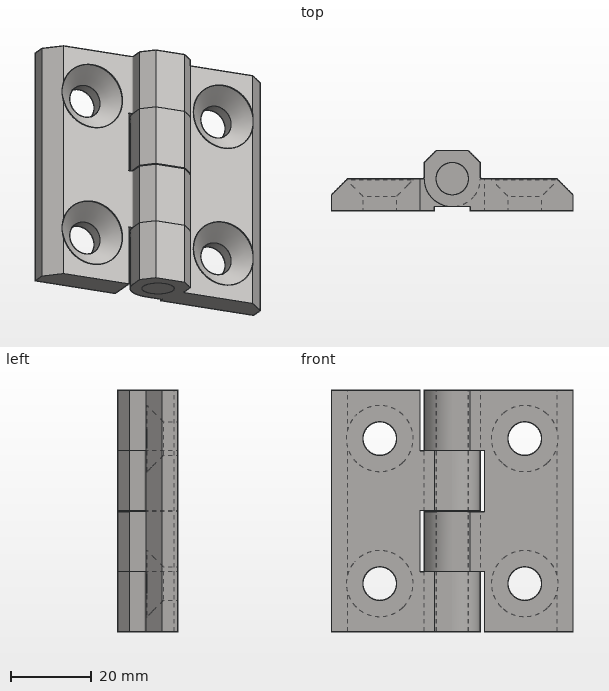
import cadquery as cq

WIDTH = 60.0
HEIGHT = 60.0
DEPTH = 15.0
HALF_WIDTH = WIDTH / 2
KNUCKLE_COUNT = 4
KNUCKLE_PITCH = HEIGHT / KNUCKLE_COUNT

PLATE_THICKNESS = 8.0
EDGE_CHAMFER = 4.0
KNUCKLE_CLEARANCE = 1.0

BACK_RELIEF = 1.0
RELIEF_HALF_WIDTH = 4.45
KNUCKLE_RADIUS = PLATE_THICKNESS - BACK_RELIEF
KNUCKLE_CHAMFER = 3.0
ROOT_FILLET = 0.5
PIN_RADIUS = 4.0
MIDDLE_GAP = 0.25

HOLE_SPACING = 36.0
HOLE_DIAMETER = 8.3
SINK_DIAMETER = 16.5
SINK_LIP = 0.3


def extrude_along_pin(outline, bottom, top):
    """Extrude an outline drawn in X and Y between two heights."""
    return outline.extrude(top - bottom).translate((0, 0, bottom))


def make_plate():
    """Left-hand plate, its outer front edge chamfered."""
    inner_edge = -(KNUCKLE_RADIUS + KNUCKLE_CLEARANCE)
    outline = (
        cq.Workplane("XY")
        .moveTo(-HALF_WIDTH, 0)
        .lineTo(inner_edge, 0)
        .lineTo(inner_edge, PLATE_THICKNESS)
        .lineTo(-HALF_WIDTH + EDGE_CHAMFER, PLATE_THICKNESS)
        .lineTo(-HALF_WIDTH, PLATE_THICKNESS - EDGE_CHAMFER)
        .close()
    )
    return extrude_along_pin(outline, -HEIGHT / 2, HEIGHT / 2)


def make_knuckle(bottom, top):
    """One knuckle and the web that joins it to the left-hand plate."""
    radius = KNUCKLE_RADIUS
    plate_edge = -(radius + KNUCKLE_CLEARANCE)
    diagonal = radius * 0.5 ** 0.5
    outline = (
        cq.Workplane("XY")
        .moveTo(plate_edge, 0)
        .lineTo(-RELIEF_HALF_WIDTH, 0)
        .lineTo(-RELIEF_HALF_WIDTH, BACK_RELIEF)
        .lineTo(0, BACK_RELIEF)
        .threePointArc((diagonal, PLATE_THICKNESS - diagonal), (radius, PLATE_THICKNESS))
        .lineTo(radius, DEPTH - KNUCKLE_CHAMFER)
        .lineTo(radius - KNUCKLE_CHAMFER, DEPTH)
        .lineTo(-radius + KNUCKLE_CHAMFER, DEPTH)
        .lineTo(-radius, DEPTH - KNUCKLE_CHAMFER)
        .lineTo(-radius, PLATE_THICKNESS + ROOT_FILLET)
        .radiusArc((-radius - ROOT_FILLET, PLATE_THICKNESS), ROOT_FILLET)
        .lineTo(plate_edge, PLATE_THICKNESS)
        .close()
    )
    return extrude_along_pin(outline, bottom, top)


def make_pin_cylinder():
    """Cylinder on the hinge axis, used as the pin and to bore the knuckles."""
    outline = cq.Workplane("XY").center(0, PLATE_THICKNESS).circle(PIN_RADIUS)
    return extrude_along_pin(outline, -HEIGHT / 2, HEIGHT / 2)


def make_hole_cutter(x, z):
    """Straight hole, countersink and lip, revolved about the hole axis along Y."""
    hole_radius = HOLE_DIAMETER / 2
    sink_radius = SINK_DIAMETER / 2
    cone_top = PLATE_THICKNESS - SINK_LIP
    cone_bottom = cone_top - (sink_radius - hole_radius)
    profile = (
        cq.Workplane("XY")
        .lineTo(hole_radius, 0)
        .lineTo(hole_radius, cone_bottom)
        .lineTo(sink_radius, cone_top)
        .lineTo(sink_radius, PLATE_THICKNESS)
        .lineTo(0, PLATE_THICKNESS)
        .close()
    )
    return profile.revolve(360, (0, 0, 0), (0, 1, 0)).translate((x, 0, z))


def cut_mounting_holes(leaf):
    """One hole near the top and one near the bottom of the plate."""
    offset = HOLE_SPACING / 2
    for z in (-offset, offset):
        leaf = leaf.cut(make_hole_cutter(-offset, z))
    return leaf


def make_left_leaf():
    """Plate carrying the lowest knuckle and the one just above the middle."""
    lower_knuckle = make_knuckle(-HEIGHT / 2, -KNUCKLE_PITCH)
    upper_knuckle = make_knuckle(MIDDLE_GAP / 2, KNUCKLE_PITCH)
    leaf = make_plate().union(lower_knuckle).union(upper_knuckle)
    return cut_mounting_holes(leaf).cut(make_pin_cylinder())


left_leaf = make_left_leaf()
right_leaf = left_leaf.rotate((0, 0, 0), (0, 1, 0), 180)
pin = make_pin_cylinder()

result = cq.Compound.makeCompound([left_leaf.val(), right_leaf.val(), pin.val()])